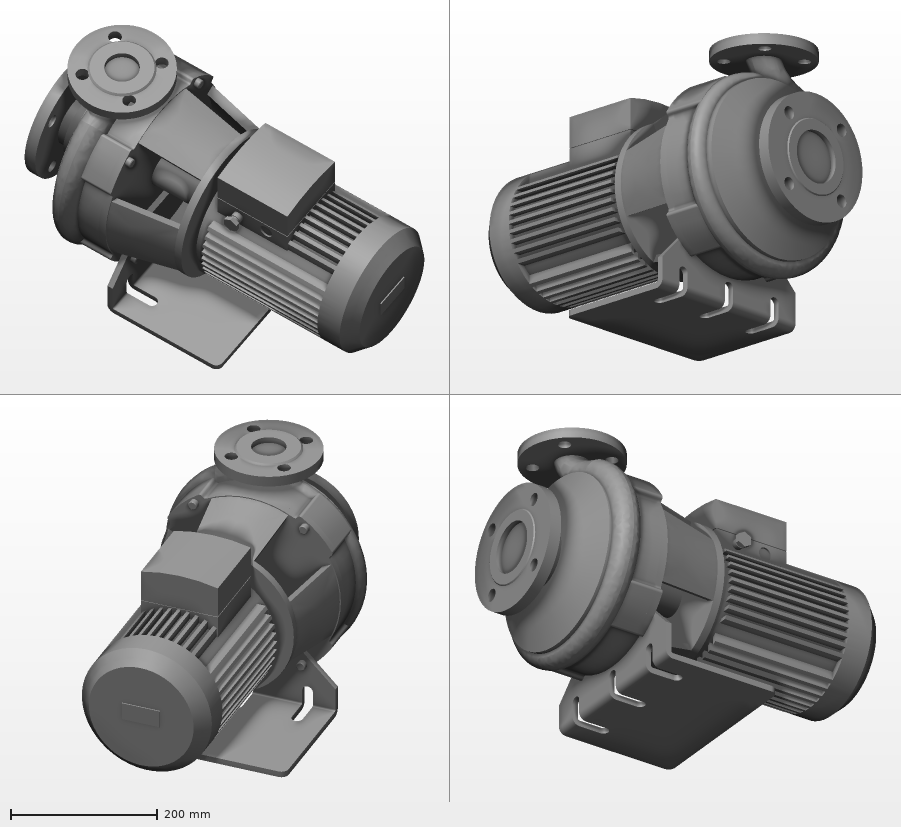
import cadquery as cq
import math


SUCTION_FACE_X = -100.0
SUCTION_FLANGE_FRONT_X = -98.0
SUCTION_FLANGE_BACK_X = -80.5
SUCTION_FLANGE_DIAMETER = 185.0
SUCTION_RAISED_DIAMETER = 107.0
SUCTION_BORE_DIAMETER = 76.0
SUCTION_NECK_DIAMETER = 76.0
SUCTION_BOLT_CIRCLE = 145.0
COLLAR_FRONT_X = -64.5
COLLAR_DIAMETER = 96.0
CONE_FRONT_X = -50.0
CONE_BACK_X = -25.0
CONE_DIAMETER = 257.0

DISCHARGE_FACE_Z = 180.0
DISCHARGE_FLANGE_TOP_Z = 177.0
DISCHARGE_FLANGE_BOTTOM_Z = 162.0
DISCHARGE_FLANGE_DIAMETER = 150.0
DISCHARGE_RAISED_DIAMETER = 89.0
DISCHARGE_BORE_DIAMETER = 48.5
DISCHARGE_NECK_DIAMETER = 50.0
DISCHARGE_BOLT_CIRCLE = 110.5

FLANGE_HOLE_DIAMETER = 19.0
FLANGE_HOLE_COUNT = 4
FLANGE_HOLE_START_ANGLE = 45
BORE_DEPTH = 9.0

VOLUTE_START_ANGLE = -15
VOLUTE_END_ANGLE = 330
VOLUTE_SECTIONS = 13
VOLUTE_START_RADIUS = 12.0
VOLUTE_END_RADIUS = 22.5
VOLUTE_PATH_RADIUS = 128.5
VOLUTE_PATH_GROWTH = 2.0
NECK_BEND_Y = -19.0
NECK_BEND_Z = 135.0
NECK_BEND_ANGLE = 50

JOINT_X = 55.0
LANTERN_PLATE_BACK_X = 67.0
RIM_DIAMETER = 270.5
PAD_DIAMETER = 288.0
PAD_WIDTH = 70.5
PAD_FILLET = 4.5
DIAGONALS = (45, 135, 225, 315)

LANTERN_FLANGE_FRONT_X = 165.0
LANTERN_FLANGE_BACK_X = 176.5
LANTERN_FLANGE_DIAMETER = 223.0
LANTERN_CONE_START_RADIUS = 133.5
LANTERN_CONE_END_RADIUS = 111.5
LANTERN_WALL = 14.5
LEG_ANGLE = 50.4
SHAFT_TUBE_DIAMETER = 50.0

FOOT_THICKNESS = 9.0
FOOT_WIDTH = 261.5
FOOT_BOTTOM_Z = -180.0
FOOT_TOP_Z = -55.0
FOOT_BACK_X = 251.5
FOOT_INNER_BEND = 3.0
FOOT_CORNER_RADIUS = 10.5
FOOT_SHOULDER_MINUS_Y_SIDE_Z = -125.5
FOOT_SHOULDER_PLUS_Y_SIDE_Z = -136.5
SLOT_WIDTH = 16.0
SLOT_SPACING = 89.5
SLOT_TOP_Z = -141.5
SLOT_BACK_X = 120.5

SCREW_HEAD_DIAMETER = 13.0
SCREW_HEAD_LENGTH = 8.5
SCREW_HEAD_CHAMFER = 1.0
SCREW_Y = 82.0
SCREW_Z = 107.0

MOTOR_NECK_DIAMETER = 113.0
MOTOR_BODY_FRONT_X = 184.5
MOTOR_BODY_DIAMETER = 173.0
FIN_FRONT_X = 199.0
FIN_DIAMETER = 193.0
FIN_THICKNESS = 5.0
FIN_PITCH = 13.0
FINS_PER_SIDE = 9
FAN_COVER_FRONT_X = 393.5
FAN_COVER_TAPER_X = 430.5
FAN_COVER_BACK_X = 450.5
FAN_COVER_END_DIAMETER = 155.5
NAMEPLATE_THICKNESS = 1.5
NAMEPLATE_WIDTH = 56.5
NAMEPLATE_HEIGHT = 25.5
NAMEPLATE_Z = 3.5

BOX_LENGTH = 116.5
BOX_WIDTH = 114.0
BOX_BOTTOM_Z = 64.0
BOX_EDGE_Z = 143.5
BOX_CROWN_Z = 150.0
LID_SEAM_Z = 97.5
LID_SEAM_SIZE = 1.0
ENTRY_Z = 82.0
ENTRY_X = 280.5
ENTRY_DIAMETER = 20.0
ENTRY_DEPTH = 3.0
GLAND_X = 234.0
GLAND_STEM_DIAMETER = 16.0
GLAND_STEM_LENGTH = 8.0
GLAND_NECK_DIAMETER = 13.0
GLAND_NECK_LENGTH = 5.0
GLAND_NUT_FLATS = 20.5
GLAND_NUT_LENGTH = 6.5


def x_cylinder(diameter, start_x, end_x):
    """Cylinder on the shaft axis."""
    return cq.Workplane("YZ", origin=(start_x, 0, 0)).circle(diameter / 2).extrude(end_x - start_x)


def x_revolve(profile):
    """Solid of revolution about the shaft axis from (x, radius) points."""
    return cq.Workplane("XY").polyline(profile).close().revolve(360, (0, 0, 0), (1, 0, 0))


def box_between(start, end):
    """Box between two opposite corners."""
    size = [b - a for a, b in zip(start, end)]
    return cq.Workplane("XY").box(*size, centered=False).translate(start)


def pipe_flange(diameter, raised_diameter, bore_diameter, bolt_circle, thickness, raised_height):
    """Flange with its underside at Z = 0 and a tapered raised face on top."""
    flange = cq.Workplane("XY").circle(diameter / 2).extrude(thickness)
    raised_face = cq.Workplane(
        obj=cq.Solid.makeCone(
            raised_diameter / 2 + raised_height,
            raised_diameter / 2,
            raised_height,
            cq.Vector(0, 0, thickness),
        )
    )
    holes = (
        cq.Workplane("XY")
        .polarArray(bolt_circle / 2, FLANGE_HOLE_START_ANGLE, 360, FLANGE_HOLE_COUNT)
        .circle(FLANGE_HOLE_DIAMETER / 2)
        .extrude(thickness)
    )
    face_z = thickness + raised_height
    bore = cq.Workplane("XY", origin=(0, 0, face_z)).circle(bore_diameter / 2).extrude(-BORE_DEPTH)
    return flange.union(raised_face).cut(holes).cut(bore)


def suction_flange():
    flange = pipe_flange(
        SUCTION_FLANGE_DIAMETER,
        SUCTION_RAISED_DIAMETER,
        SUCTION_BORE_DIAMETER,
        SUCTION_BOLT_CIRCLE,
        SUCTION_FLANGE_BACK_X - SUCTION_FLANGE_FRONT_X,
        SUCTION_FLANGE_FRONT_X - SUCTION_FACE_X,
    )
    facing_forward = flange.rotate((0, 0, 0), (0, 1, 0), -90)
    return facing_forward.translate((SUCTION_FLANGE_BACK_X, 0, 0))


def discharge_flange():
    flange = pipe_flange(
        DISCHARGE_FLANGE_DIAMETER,
        DISCHARGE_RAISED_DIAMETER,
        DISCHARGE_BORE_DIAMETER,
        DISCHARGE_BOLT_CIRCLE,
        DISCHARGE_FLANGE_TOP_Z - DISCHARGE_FLANGE_BOTTOM_Z,
        DISCHARGE_FACE_Z - DISCHARGE_FLANGE_TOP_Z,
    )
    return flange.translate((0, 0, DISCHARGE_FLANGE_BOTTOM_Z))


def pipe_section(y, z, angle, radius):
    """Circle across the volute pipe, which runs at the given angle above the +Y direction."""
    tilt = math.radians(angle)
    direction = cq.Vector(0, math.cos(tilt), math.sin(tilt))
    return cq.Wire.makeCircle(radius, cq.Vector(0, y, z), direction)


def volute():
    """Widening pipe round the shaft axis, and the discharge neck that it ends in."""
    sections = []
    for i in range(VOLUTE_SECTIONS):
        fraction = i / (VOLUTE_SECTIONS - 1)
        angle = VOLUTE_START_ANGLE + fraction * (VOLUTE_END_ANGLE - VOLUTE_START_ANGLE)
        path_radius = VOLUTE_PATH_RADIUS + fraction * VOLUTE_PATH_GROWTH
        pipe_radius = VOLUTE_START_RADIUS + fraction * (VOLUTE_END_RADIUS - VOLUTE_START_RADIUS)
        y = path_radius * math.sin(math.radians(angle))
        z = path_radius * math.cos(math.radians(angle))
        sections.append(pipe_section(y, z, -angle, pipe_radius))
    neck_radius = DISCHARGE_NECK_DIAMETER / 2
    neck_sections = [
        sections[-1],
        pipe_section(NECK_BEND_Y, NECK_BEND_Z, NECK_BEND_ANGLE, (VOLUTE_END_RADIUS + neck_radius) / 2),
        pipe_section(0, DISCHARGE_FLANGE_BOTTOM_Z, 90, neck_radius),
    ]
    ring = cq.Workplane(obj=cq.Solid.makeLoft(sections))
    neck = cq.Workplane(obj=cq.Solid.makeLoft(neck_sections))
    return ring, neck


def padded_rim(start_x, end_x):
    """Round rim with four screw pads that have rounded corners and blend into the rim."""
    half_width = PAD_WIDTH / 2
    rim = x_cylinder(RIM_DIAMETER, start_x, end_x)
    pad = x_cylinder(PAD_DIAMETER, start_x, end_x).intersect(
        box_between((start_x, 0, -half_width), (end_x, PAD_DIAMETER, half_width))
    )
    outer_corners = cq.selectors.BoxSelector(
        (start_x, RIM_DIAMETER / 4, -PAD_WIDTH), (end_x, PAD_DIAMETER, PAD_WIDTH)
    )
    pad = pad.edges("|X").edges(outer_corners).fillet(PAD_FILLET)
    for angle in DIAGONALS:
        rim = rim.union(pad.rotate((0, 0, 0), (1, 0, 0), angle))
    root_angle = math.degrees(math.asin(half_width / (RIM_DIAMETER / 2)))
    for angle in DIAGONALS:
        for side in (-root_angle, root_angle):
            turn = math.radians(angle + side)
            root = (
                (start_x + end_x) / 2,
                RIM_DIAMETER / 2 * math.cos(turn),
                RIM_DIAMETER / 2 * math.sin(turn),
            )
            rim = rim.edges(cq.selectors.NearestToPointSelector(root)).fillet(PAD_FILLET)
    return rim


def make_casing():
    front_wall = x_revolve(
        [
            (SUCTION_FLANGE_BACK_X, 0),
            (SUCTION_FLANGE_BACK_X, SUCTION_NECK_DIAMETER / 2),
            (COLLAR_FRONT_X, SUCTION_NECK_DIAMETER / 2),
            (COLLAR_FRONT_X, COLLAR_DIAMETER / 2),
            (CONE_FRONT_X, COLLAR_DIAMETER / 2),
            (CONE_BACK_X, CONE_DIAMETER / 2),
            (0, CONE_DIAMETER / 2),
            (0, 0),
        ]
    )
    ring, neck = volute()
    casing = front_wall.union(padded_rim(0, JOINT_X)).union(ring).union(neck)
    return casing.union(suction_flange()).union(discharge_flange())


def lantern_window():
    """Sector between two neighbouring legs, centred on the +Y direction."""
    half_angle = math.radians(90 - LEG_ANGLE) / 2
    reach = RIM_DIAMETER
    side = reach * math.tan(half_angle)
    depth = LANTERN_FLANGE_FRONT_X - LANTERN_PLATE_BACK_X
    sector = cq.Workplane("YZ", origin=(LANTERN_PLATE_BACK_X, 0, 0))
    return sector.polyline([(0, 0), (reach, -side), (reach, side)]).close().extrude(depth)


def make_lantern():
    wall = x_revolve(
        [
            (LANTERN_PLATE_BACK_X, LANTERN_CONE_START_RADIUS - LANTERN_WALL),
            (LANTERN_PLATE_BACK_X, LANTERN_CONE_START_RADIUS),
            (LANTERN_FLANGE_FRONT_X, LANTERN_CONE_END_RADIUS),
            (LANTERN_FLANGE_FRONT_X, LANTERN_CONE_END_RADIUS - LANTERN_WALL),
        ]
    )
    for angle in DIAGONALS:
        wall = wall.cut(lantern_window().rotate((0, 0, 0), (1, 0, 0), angle))
    back_flange = x_cylinder(LANTERN_FLANGE_DIAMETER, LANTERN_FLANGE_FRONT_X, LANTERN_FLANGE_BACK_X)
    shaft_tube = x_cylinder(SHAFT_TUBE_DIAMETER, LANTERN_PLATE_BACK_X, LANTERN_FLANGE_FRONT_X)
    plate = padded_rim(JOINT_X, LANTERN_PLATE_BACK_X)
    return plate.union(wall).union(back_flange).union(shaft_tube)


def foot_slot(y):
    """Slot that runs from the upright round the bend into the base."""
    radius = SLOT_WIDTH / 2
    front_x = LANTERN_PLATE_BACK_X
    upright_part = box_between(
        (front_x, y - radius, FOOT_BOTTOM_Z), (front_x + FOOT_THICKNESS, y + radius, SLOT_TOP_Z - radius)
    )
    upright_end = (
        cq.Workplane("YZ", origin=(front_x, y, SLOT_TOP_Z - radius)).circle(radius).extrude(FOOT_THICKNESS)
    )
    inner_z = FOOT_BOTTOM_Z + FOOT_THICKNESS + FOOT_INNER_BEND
    base_part = box_between((front_x, y - radius, FOOT_BOTTOM_Z), (SLOT_BACK_X - radius, y + radius, inner_z))
    base_end = (
        cq.Workplane("XY", origin=(SLOT_BACK_X - radius, y, FOOT_BOTTOM_Z))
        .circle(radius)
        .extrude(FOOT_THICKNESS)
    )
    return upright_part.union(upright_end).union(base_part).union(base_end)


def make_foot(lantern):
    half_width = FOOT_WIDTH / 2
    front_x = LANTERN_PLATE_BACK_X
    upright = (
        cq.Workplane("YZ", origin=(front_x, 0, 0))
        .polyline(
            [
                (-half_width, FOOT_BOTTOM_Z),
                (half_width, FOOT_BOTTOM_Z),
                (half_width, FOOT_SHOULDER_PLUS_Y_SIDE_Z),
                (half_width - (FOOT_TOP_Z - FOOT_SHOULDER_PLUS_Y_SIDE_Z), FOOT_TOP_Z),
                (-half_width + (FOOT_TOP_Z - FOOT_SHOULDER_MINUS_Y_SIDE_Z), FOOT_TOP_Z),
                (-half_width, FOOT_SHOULDER_MINUS_Y_SIDE_Z),
            ]
        )
        .close()
        .extrude(FOOT_THICKNESS)
    )
    base = box_between(
        (front_x, -half_width, FOOT_BOTTOM_Z), (FOOT_BACK_X, half_width, FOOT_BOTTOM_Z + FOOT_THICKNESS)
    )
    base = base.edges("|Z and >X").fillet(FOOT_CORNER_RADIUS)
    inner_corner = cq.selectors.NearestToPointSelector(
        (front_x + FOOT_THICKNESS, 0, FOOT_BOTTOM_Z + FOOT_THICKNESS)
    )
    foot = upright.union(base).edges(inner_corner).fillet(FOOT_INNER_BEND)
    foot = foot.edges("|Y and <X and <Z").fillet(FOOT_INNER_BEND + FOOT_THICKNESS)
    for y in (-SLOT_SPACING, 0, SLOT_SPACING):
        foot = foot.cut(foot_slot(y))
    return foot.cut(lantern)


def make_screw_head(y, z, seat_x):
    """Screw head resting on the plane X = seat_x."""
    seat = cq.Workplane("YZ", origin=(seat_x, y, z))
    head = seat.circle(SCREW_HEAD_DIAMETER / 2).extrude(SCREW_HEAD_LENGTH)
    return head.faces(">X").chamfer(SCREW_HEAD_CHAMFER)


def make_screw_heads():
    """The upper screw heads sit on the lantern plate, the lower ones on the foot."""
    foot_back_x = LANTERN_PLATE_BACK_X + FOOT_THICKNESS
    heads = []
    for y in (-SCREW_Y, SCREW_Y):
        heads.append(make_screw_head(y, SCREW_Z, LANTERN_PLATE_BACK_X))
        heads.append(make_screw_head(y, -SCREW_Z, foot_back_x))
    return heads


def box_envelope():
    """Outer block of the terminal box with its crowned top."""
    half_width = BOX_WIDTH / 2
    return (
        cq.Workplane("YZ", origin=(FIN_FRONT_X, 0, 0))
        .moveTo(-half_width, BOX_BOTTOM_Z)
        .lineTo(half_width, BOX_BOTTOM_Z)
        .lineTo(half_width, BOX_EDGE_Z)
        .threePointArc((0, BOX_CROWN_Z), (-half_width, BOX_EDGE_Z))
        .close()
        .extrude(BOX_LENGTH)
    )


def cooling_fins():
    """Parallel fins on all four sides of the motor body, trimmed to a round outline."""
    flat_fins = cq.Workplane("XY")
    reach = FIN_DIAMETER / 2
    half = FIN_THICKNESS / 2
    outline = x_cylinder(FIN_DIAMETER, FIN_FRONT_X, FAN_COVER_FRONT_X)
    for i in range(FINS_PER_SIDE):
        offset = (i - (FINS_PER_SIDE - 1) / 2) * FIN_PITCH
        level = box_between(
            (FIN_FRONT_X, -reach, offset - half), (FAN_COVER_FRONT_X, reach, offset + half)
        )
        flat_fins = flat_fins.union(level).union(level.rotate((0, 0, 0), (1, 0, 0), 90))
    return flat_fins.intersect(outline)


def make_motor():
    frame = x_revolve(
        [
            (LANTERN_FLANGE_BACK_X, 0),
            (LANTERN_FLANGE_BACK_X, MOTOR_NECK_DIAMETER / 2),
            (MOTOR_BODY_FRONT_X, MOTOR_NECK_DIAMETER / 2),
            (MOTOR_BODY_FRONT_X, MOTOR_BODY_DIAMETER / 2),
            (FAN_COVER_FRONT_X, MOTOR_BODY_DIAMETER / 2),
            (FAN_COVER_FRONT_X, FIN_DIAMETER / 2),
            (FAN_COVER_TAPER_X, FIN_DIAMETER / 2),
            (FAN_COVER_BACK_X, FAN_COVER_END_DIAMETER / 2),
            (FAN_COVER_BACK_X, 0),
        ]
    )
    nameplate = (
        cq.Workplane("YZ", origin=(FAN_COVER_BACK_X, 0, NAMEPLATE_Z))
        .rect(NAMEPLATE_WIDTH, NAMEPLATE_HEIGHT)
        .extrude(NAMEPLATE_THICKNESS)
    )
    return frame.union(cooling_fins().cut(box_envelope())).union(nameplate)


def cable_gland():
    """Stem, neck and hexagon nut on the -Y side of the terminal box."""
    stem_y = -BOX_WIDTH / 2
    neck_y = stem_y - GLAND_STEM_LENGTH
    nut_y = neck_y - GLAND_NECK_LENGTH
    stem = cq.Workplane("XZ", origin=(GLAND_X, stem_y, ENTRY_Z)).circle(GLAND_STEM_DIAMETER / 2)
    neck = cq.Workplane("XZ", origin=(GLAND_X, neck_y, ENTRY_Z)).circle(GLAND_NECK_DIAMETER / 2)
    nut = cq.Workplane("XZ", origin=(GLAND_X, nut_y, ENTRY_Z)).polygon(6, GLAND_NUT_FLATS, circumscribed=True)
    gland = stem.extrude(GLAND_STEM_LENGTH).union(neck.extrude(GLAND_NECK_LENGTH))
    return gland.union(nut.extrude(GLAND_NUT_LENGTH))


def lid_seam():
    """Shallow groove round the box below its lid."""
    plane = cq.Workplane("XY", origin=(FIN_FRONT_X + BOX_LENGTH / 2, 0, LID_SEAM_Z - LID_SEAM_SIZE / 2))
    inset = 2 * LID_SEAM_SIZE
    ring = plane.rect(BOX_LENGTH, BOX_WIDTH).rect(BOX_LENGTH - inset, BOX_WIDTH - inset)
    return ring.extrude(LID_SEAM_SIZE)


def make_terminal_box():
    motor_body = x_cylinder(MOTOR_BODY_DIAMETER, FIN_FRONT_X, FIN_FRONT_X + BOX_LENGTH)
    cable_entry = (
        cq.Workplane("XZ", origin=(ENTRY_X, -BOX_WIDTH / 2, ENTRY_Z))
        .circle(ENTRY_DIAMETER / 2)
        .extrude(-ENTRY_DEPTH)
    )
    box = box_envelope().cut(motor_body).cut(lid_seam()).cut(cable_entry)
    return box.union(cable_gland())


casing = make_casing()
lantern = make_lantern()
foot = make_foot(lantern)
screw_heads = make_screw_heads()
motor = make_motor()
terminal_box = make_terminal_box()

result = cq.Compound.makeCompound(
    [
        casing.solids().val(),
        lantern.solids().val(),
        foot.solids().val(),
        motor.solids().val(),
        terminal_box.solids().val(),
        *[head.solids().val() for head in screw_heads],
    ]
)